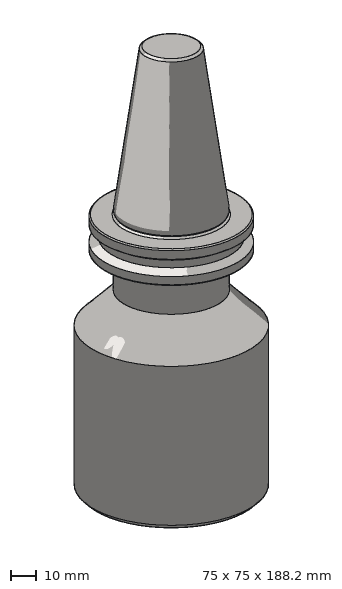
import cadquery as cq

total_height = 188.2
body_radius = 37.5
body_top_z = 69.7
base_chamfer = 2.0
neck_radius = 22.4
shoulder_top_z = body_top_z + body_radius - neck_radius

flange_radius = 63.5 / 2
flange_bottom_z = 101.0
flange_top_z = 116.7
flange_edge_chamfer = 0.5
neck_chamfer = 1.0
groove_radius = 56.3 / 2
groove_center_z = 108.8
groove_floor_width = 3.2
groove_flank_height = 2.0
groove_bottom_z = groove_center_z - groove_floor_width / 2
groove_top_z = groove_center_z + groove_floor_width / 2

gauge_z = 120.0
gauge_radius = 22.2
taper_ratio = 7 / 24
tip_radius = gauge_radius - (total_height - gauge_z) * taper_ratio / 2
tip_chamfer = 1.0
tip_chamfer_radius = tip_radius + tip_chamfer * taper_ratio / 2
collar_bottom_z = 118.0
relief_radius = 21.8
relief_foot_radius = 22.8
relief_z = 117.5

section = (
    cq.Workplane("XZ")
    .lineTo(body_radius - base_chamfer, 0)
    .lineTo(body_radius, base_chamfer)
    .lineTo(body_radius, body_top_z)
    .lineTo(neck_radius, shoulder_top_z)
    .lineTo(neck_radius, flange_bottom_z - neck_chamfer)
    .lineTo(neck_radius + neck_chamfer, flange_bottom_z)
    .lineTo(flange_radius - flange_edge_chamfer, flange_bottom_z)
    .lineTo(flange_radius, flange_bottom_z + flange_edge_chamfer)
    .lineTo(flange_radius, groove_bottom_z - groove_flank_height)
    .lineTo(groove_radius, groove_bottom_z)
    .lineTo(groove_radius, groove_top_z)
    .lineTo(flange_radius, groove_top_z + groove_flank_height)
    .lineTo(flange_radius, flange_top_z - flange_edge_chamfer)
    .lineTo(flange_radius - flange_edge_chamfer, flange_top_z)
    .lineTo(relief_foot_radius, flange_top_z)
    .lineTo(relief_radius, relief_z)
    .lineTo(gauge_radius, collar_bottom_z)
    .lineTo(gauge_radius, gauge_z)
    .lineTo(tip_chamfer_radius, total_height - tip_chamfer)
    .lineTo(tip_radius - tip_chamfer, total_height)
    .lineTo(0, total_height)
    .close()
)

result = section.revolve(360, (0, 0, 0), (0, 1, 0))